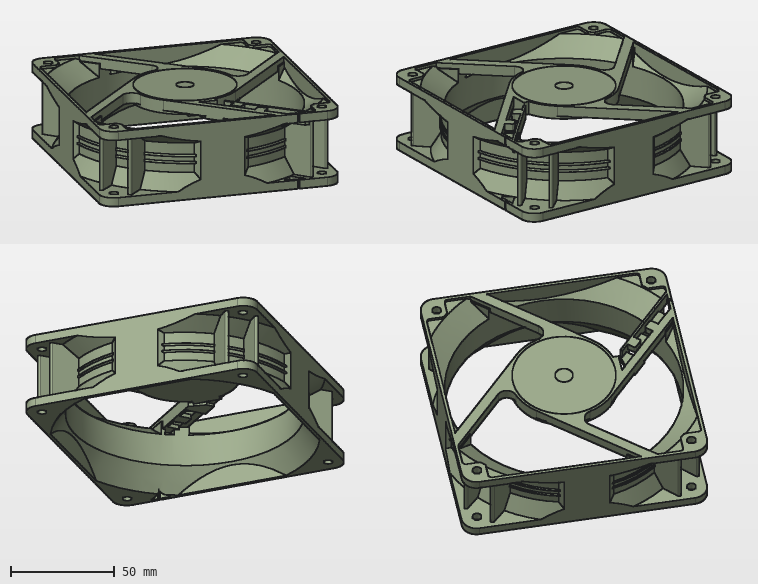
import cadquery as cq
import math

SIZE_X = 120.2
SIZE_Y = 120.0
HEIGHT = 38.0
CORNER_RADIUS = 7.2
FLANGE = 4.5
RIM_WALL = 1.7
INNER_X = SIZE_X / 2 - RIM_WALL
INNER_Y = SIZE_Y / 2 - RIM_WALL
HOLE_OFFSET = 52.5
HOLE_DIAMETER = 4.3

RECESS_DEPTH = 1.3
RECESS_FLOOR = HEIGHT - RECESS_DEPTH
BOSS_EDGE = 47.7
RECESS_RADIUS = 1.7

DUCT_WALL = 1.7
THROAT_RADIUS = 57.5
THROAT_OUTER = THROAT_RADIUS + DUCT_WALL
THROAT_BOTTOM = 12.7
THROAT_TOP = 27.6
LOWER_FLARE_OUTER = 64.2
UPPER_FLARE_OUTER = 67.5
FLANGE_UNDERSIDE = HEIGHT - FLANGE
LOWER_SLOPE = (LOWER_FLARE_OUTER - THROAT_OUTER) / (THROAT_BOTTOM - FLANGE)
UPPER_SLOPE = (UPPER_FLARE_OUTER - THROAT_OUTER) / (FLANGE_UNDERSIDE - THROAT_TOP)

POCKET_START = 50.3
BAND_HEIGHTS = (17.8, 21.3)
BAND_RADIUS = 0.6
WEB_OFFSET = 7.7
WEB_THICKNESS = 1.9
WEB_END = 73.3

HUB_RADIUS = 26.4
HUB_THICKNESS = 6.6
HUB_CAP_RADIUS = 25.0
SHAFT_RADIUS = 4.3
CAP_DEPTH = 0.1
STRUT_ANGLE = 49
STRUT_INNER = 21.1
STRUT_THICKNESS = 5.3
STRUT_FILLET = 4.8
GUSSET_MARGIN = 0.7
GUSSET_DEPTH = 2.6

CABLE_STRUT_INNER = 22.3
CHANNEL_DEPTH = 6.6
CHANNEL_WALL = (15.1, 16.3)
CHANNEL_START = 27.6
LEDGE_THICKNESS = 2.2
TAB_THICKNESS = 3.6
TAB_RADIUS = 1.0
LEDGES = ((39.2, 45.5), (52.4, 62.0))
FIRST_LEDGE_END = 31.6
FIRST_LEDGE_ROOT = 22.1
WALL_TAB = (32.7, 38.3)
WALL_TAB_TIP = 20.7
STRUT_TAB = (46.3, 51.5)
STRUT_TAB_TIP = 17.9
CABLE_SLOT_Y = 38.5
CABLE_SLOT_WIDTH = 1.1

EAR_X = (24, 28.1)
EAR_Y = (-7.2, 7.3)

OVERLAP = 0.2
REACH = 96.1


def block(x_range, y_range, z_range):
    """Box given by its limits along each axis."""
    (x0, x1), (y0, y1), (z0, z1) = x_range, y_range, z_range
    return cq.Workplane("XY").box(x1 - x0, y1 - y0, z1 - z0, centered=False).translate((x0, y0, z0))


def revolved(profile):
    """Solid of revolution about Z from (radius, height) points."""
    return cq.Workplane("XZ").polyline(profile).close().revolve(360, (0, 0), (0, 1))


def along_strut(along, across, z_range):
    """Box beside the first strut: 'along' runs outwards, 'across' is the distance from the hub axis."""
    to_strut = (-across[1], -across[0])
    return block(along, to_strut, z_range).rotate((0, 0, 0), (0, 0, 1), STRUT_ANGLE)


def make_frame():
    frame = cq.Workplane("XY").box(SIZE_X, SIZE_Y, HEIGHT, centered=(True, True, False))
    return frame.edges("|Z").fillet(CORNER_RADIUS)


def inner_prism():
    """Space between the four straight rim walls."""
    return cq.Workplane("XY").box(2 * INNER_X, 2 * INNER_Y, HEIGHT, centered=(True, True, False))


def make_duct_outside():
    lower_end = THROAT_OUTER + LOWER_SLOPE * THROAT_BOTTOM
    upper_end = THROAT_OUTER + UPPER_SLOPE * (HEIGHT - THROAT_TOP)
    duct = revolved([
        (0, 0), (lower_end, 0), (THROAT_OUTER, THROAT_BOTTOM),
        (THROAT_OUTER, THROAT_TOP), (upper_end, HEIGHT), (0, HEIGHT),
    ])
    for height in BAND_HEIGHTS:
        duct = duct.union(cq.Workplane("XY").add(
            cq.Solid.makeTorus(THROAT_OUTER, BAND_RADIUS, cq.Vector(0, 0, height))))
    return duct


def make_bore():
    lower_shift = DUCT_WALL * (math.hypot(1, LOWER_SLOPE) - 1) / LOWER_SLOPE
    upper_shift = DUCT_WALL * (math.hypot(1, UPPER_SLOPE) - 1) / UPPER_SLOPE
    throat_bottom = THROAT_BOTTOM - lower_shift
    throat_top = THROAT_TOP + upper_shift
    lower_end = THROAT_RADIUS + LOWER_SLOPE * throat_bottom
    upper_end = THROAT_RADIUS + UPPER_SLOPE * (RECESS_FLOOR - throat_top)
    bore = revolved([
        (0, 0), (lower_end, 0), (THROAT_RADIUS, throat_bottom),
        (THROAT_RADIUS, throat_top), (upper_end, RECESS_FLOOR), (upper_end, HEIGHT), (0, HEIGHT),
    ])
    return bore.intersect(inner_prism())


def make_recess():
    wide = cq.Workplane("XY").box(2 * INNER_X, 2 * BOSS_EDGE, RECESS_DEPTH, centered=(True, True, False))
    deep = cq.Workplane("XY").box(2 * BOSS_EDGE, 2 * INNER_Y, RECESS_DEPTH, centered=(True, True, False))
    recess = wide.edges("|Z").fillet(RECESS_RADIUS).union(deep.edges("|Z").fillet(RECESS_RADIUS))
    return recess.translate((0, 0, RECESS_FLOOR))


def make_pockets():
    """Material to remove between the flanges at the corners, leaving the duct and the webs."""
    depth = FLANGE_UNDERSIDE - FLANGE
    pockets = cq.Workplane("XY")
    for corner in range(4):
        pocket = block((POCKET_START, REACH), (-REACH, REACH), (FLANGE, FLANGE_UNDERSIDE))
        for offset in (-WEB_OFFSET, WEB_OFFSET):
            web = (cq.Workplane("XY", origin=(0, offset, FLANGE))
                   .slot2D(2 * WEB_END, WEB_THICKNESS).extrude(depth))
            pocket = pocket.cut(web)
        pockets = pockets.add(pocket.rotate((0, 0, 0), (0, 0, 1), 45 + 90 * corner))
    return pockets.combine().cut(make_duct_outside())


def make_spider():
    """Hub disc carried by four struts that run tangentially out to the frame."""
    hub_base = HEIGHT - HUB_THICKNESS
    strut_z = (HEIGHT - STRUT_THICKNESS, HEIGHT)
    hub = cq.Workplane("XY", origin=(0, 0, hub_base)).circle(HUB_RADIUS).extrude(HUB_THICKNESS)
    hub = hub.union(along_strut((0, REACH), (CABLE_STRUT_INNER, HUB_RADIUS), strut_z))
    for index in range(1, 4):
        strut = along_strut((0, REACH), (STRUT_INNER, HUB_RADIUS), strut_z)
        hub = hub.union(strut.rotate((0, 0, 0), (0, 0, 1), 90 * index))
    root = math.sqrt(HUB_RADIUS ** 2 - STRUT_INNER ** 2)
    for index in range(1, 4):
        angle = math.radians(STRUT_ANGLE + 90 * index)
        x = root * math.cos(angle) + STRUT_INNER * math.sin(angle)
        y = root * math.sin(angle) - STRUT_INNER * math.cos(angle)
        corner = cq.selectors.NearestToPointSelector((x, y, HEIGHT - STRUT_THICKNESS / 2))
        hub = hub.edges("|Z").edges(corner).fillet(STRUT_FILLET)
    return hub.union(block(EAR_X, EAR_Y, (hub_base, HEIGHT)))


def make_gussets():
    """Slightly wider feet that join the struts and the channel wall to the duct."""
    foot_z = (THROAT_BOTTOM, HEIGHT - GUSSET_DEPTH)
    foot = along_strut((0, REACH), (STRUT_INNER - GUSSET_MARGIN, HUB_RADIUS + GUSSET_MARGIN), foot_z)
    near, far = CHANNEL_WALL
    gussets = along_strut((0, REACH), (near - GUSSET_MARGIN, far), foot_z)
    for index in range(4):
        gussets = gussets.union(foot.rotate((0, 0, 0), (0, 0, 1), 90 * index))
    throat = cq.Workplane("XY").circle(THROAT_RADIUS).extrude(HEIGHT)
    return gussets.cut(throat)


def make_channel_space():
    """Clears the duct wall and strut foot from the cable's path."""
    return along_strut((STRUT_TAB[0], REACH), (CHANNEL_WALL[1], CABLE_STRUT_INNER),
                       (HEIGHT - CHANNEL_DEPTH, HEIGHT)).intersect(inner_prism())


def make_channel():
    """Thin wall, low ledges and overhanging tabs that hold the cable beside the first strut."""
    base = HEIGHT - CHANNEL_DEPTH
    ledge_z = (base, base + LEDGE_THICKNESS)
    tab_z = (HEIGHT - TAB_THICKNESS, HEIGHT)
    near, far = CHANNEL_WALL
    channel = along_strut((CHANNEL_START, REACH), CHANNEL_WALL, (base, HEIGHT))
    for span in LEDGES:
        channel = channel.union(along_strut(span, (near, CABLE_STRUT_INNER + OVERLAP), ledge_z))
    first_ledge = (cq.Workplane("XY", origin=(0, 0, base))
                   .polyline([(CHANNEL_START, -near), (FIRST_LEDGE_END, -near),
                              (FIRST_LEDGE_END, -HUB_RADIUS), (FIRST_LEDGE_ROOT, -HUB_RADIUS),
                              (FIRST_LEDGE_ROOT, -CABLE_STRUT_INNER)])
                   .close().extrude(LEDGE_THICKNESS).rotate((0, 0, 0), (0, 0, 1), STRUT_ANGLE))
    wall_tab = along_strut(WALL_TAB, (near, WALL_TAB_TIP), tab_z)
    strut_tab = along_strut(STRUT_TAB, (STRUT_TAB_TIP, HUB_RADIUS), tab_z)
    for tab in (wall_tab, strut_tab):
        channel = channel.union(tab.edges("|Z").fillet(TAB_RADIUS))
    return channel.union(first_ledge)


def make_cable_exit():
    exit_hole = along_strut((LEDGES[-1][1], REACH), (CHANNEL_WALL[1], CABLE_STRUT_INNER), (0, HEIGHT))
    exit_hole = exit_hole.intersect(inner_prism())
    half = CABLE_SLOT_WIDTH / 2
    slot = block((INNER_X - OVERLAP, REACH), (CABLE_SLOT_Y - half, CABLE_SLOT_Y + half), (0, HEIGHT))
    return exit_hole.union(slot)


def make_cap_recess():
    """Shallow round recess in the hub that leaves the shaft end standing."""
    return (cq.Workplane("XY", origin=(0, 0, HEIGHT - CAP_DEPTH))
            .circle(HUB_CAP_RADIUS).circle(SHAFT_RADIUS).extrude(CAP_DEPTH))


def make_screw_holes():
    return (cq.Workplane("XY").rect(2 * HOLE_OFFSET, 2 * HOLE_OFFSET, forConstruction=True)
            .vertices().circle(HOLE_DIAMETER / 2).extrude(HEIGHT))


body = make_frame().cut(make_bore()).cut(make_recess())
body = body.union(make_spider().union(make_gussets()).intersect(inner_prism()))
body = body.cut(make_pockets())
body = body.cut(make_channel_space())
body = body.union(make_channel().intersect(inner_prism()))
body = body.cut(make_cable_exit())
result = body.cut(make_screw_holes()).cut(make_cap_recess())